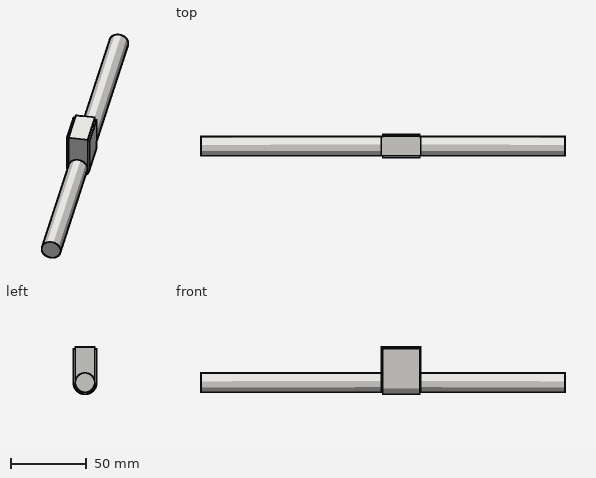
import cadquery as cq

rod_length = 240.0
rod_diameter = 12.8

jacket_length = 24.5
jacket_width = 15.5
overall_height = 31.2

core_length = 26.0
core_width = 12.9
core_top_overhang = 1.25

block_center_x = 12.0
core_top = overall_height - jacket_width / 2
jacket_top = core_top - core_top_overhang


def make_rod():
    """Plain cylinder along X."""
    start = (-rod_length / 2, 0, 0)
    return cq.Workplane("YZ", origin=start).circle(rod_diameter / 2).extrude(rod_length)


def make_round_bottom_block(length, width, top):
    """Upright block with a half-round bottom coaxial with the rod."""
    radius = width / 2
    start = (block_center_x - length / 2, 0, 0)
    return (
        cq.Workplane("YZ", origin=start)
        .moveTo(-radius, top)
        .lineTo(-radius, 0)
        .threePointArc((0, -radius), (radius, 0))
        .lineTo(radius, top)
        .close()
        .extrude(length)
    )


jacket = make_round_bottom_block(jacket_length, jacket_width, jacket_top)
core = make_round_bottom_block(core_length, core_width, core_top)

result = make_rod().union(jacket).union(core)